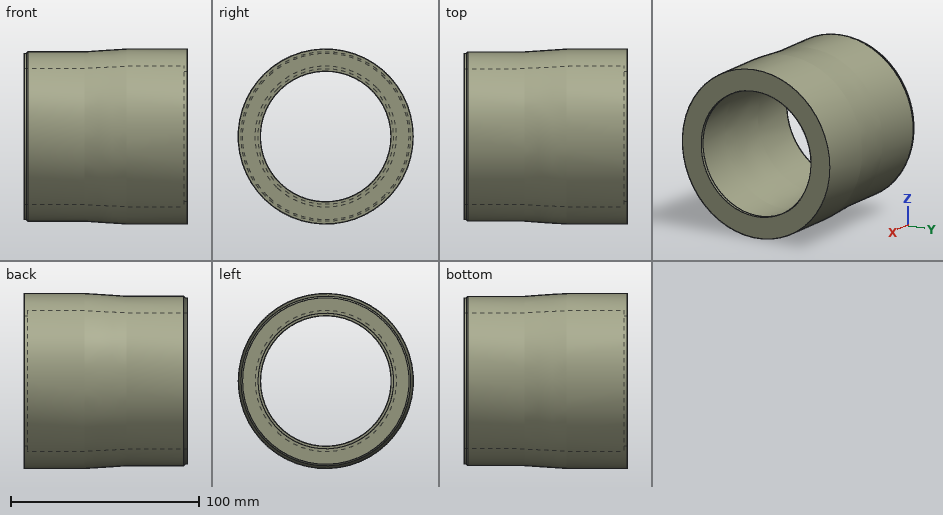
import cadquery as cq

length = 86.6
large_diameter = 93.0
small_diameter = 90.0
rim_diameter = 88.35
wall = 9.0

end_length = 32.1
taper_start = end_length
taper_end = length - end_length
rim_length = 1.1
chamfer_end = rim_length + (small_diameter - rim_diameter) / 2

small_bore_diameter = small_diameter - 2 * wall
large_bore_diameter = large_diameter - 2 * wall
lip_bore_diameter = 69.2
lip_thickness = 1.9
bore_end_length = 28.3
bore_taper_start = bore_end_length
bore_taper_end = length - bore_end_length


def half_section():
    """Closed wall profile, with X along the axis and Y as the radius."""
    lip_face = length - lip_thickness
    return (
        cq.Workplane("XY")
        .moveTo(0, rim_diameter / 2)
        .lineTo(rim_length, rim_diameter / 2)
        .lineTo(chamfer_end, small_diameter / 2)
        .lineTo(taper_start, small_diameter / 2)
        .lineTo(taper_end, large_diameter / 2)
        .lineTo(length, large_diameter / 2)
        .lineTo(length, lip_bore_diameter / 2)
        .lineTo(lip_face, lip_bore_diameter / 2)
        .lineTo(lip_face, large_bore_diameter / 2)
        .lineTo(bore_taper_end, large_bore_diameter / 2)
        .lineTo(bore_taper_start, small_bore_diameter / 2)
        .lineTo(0, small_bore_diameter / 2)
        .close()
    )


result = half_section().revolve(360, (0, 0, 0), (1, 0, 0))